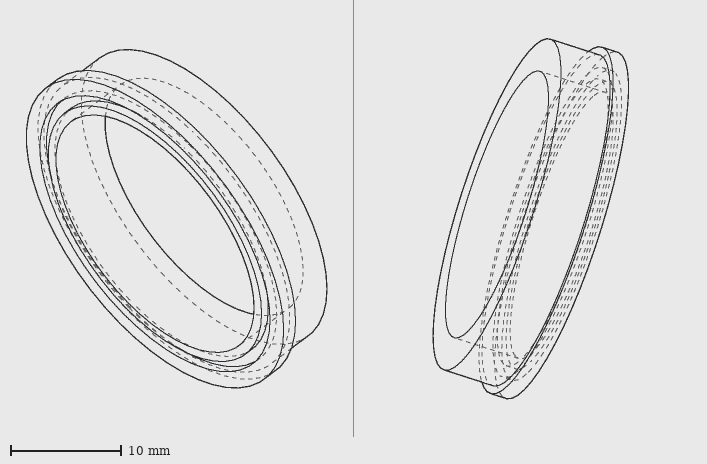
import cadquery as cq

flange_diameter = 33.02
body_diameter = 31.55
bore_diameter = 25.4
width = 6.3
flange_thickness = 1.52

groove_outer_diameter = 29.52
groove_inner_diameter = 27.35
groove_depth = 0.85

front_y = -width / 2


def cylinder(diameter, start_y, length):
    """Solid cylinder running from start_y toward +Y."""
    plane = cq.Workplane("XZ", origin=(0, start_y, 0))
    return plane.circle(diameter / 2).extrude(-length)


def ring(outer_diameter, inner_diameter, start_y, length):
    """Cylinder with a concentric through hole."""
    return cylinder(outer_diameter, start_y, length).cut(cylinder(inner_diameter, start_y, length))


body = ring(body_diameter, bore_diameter, front_y, width)
flange = ring(flange_diameter, bore_diameter, front_y, flange_thickness)
groove = ring(groove_outer_diameter, groove_inner_diameter, front_y, groove_depth)

result = body.union(flange).cut(groove)